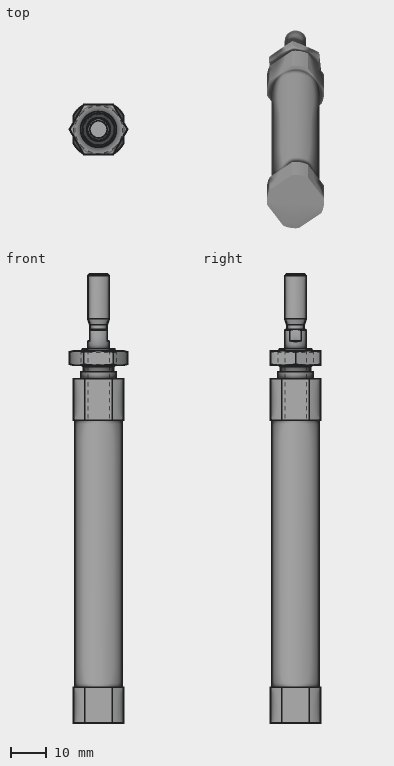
import cadquery as cq
import math

TOTAL_LENGTH = 125.2
REAR_CAP_LENGTH = 10.0
HEAD_BOTTOM = 84.4
HEAD_TOP = 96.0

CAP_ACROSS_FLATS = 14.0
CAP_CORNER_DIA = 16.0
TUBE_DIA = 13.3
COLLAR_DIA = 10.0
COLLAR_HEIGHT = 1.9
THREAD_DIA = 10.0
THREAD_ROOT_DIA = 8.92
NECK_DIA = 8.4
TIP_CONE_ANGLE = 30.0
THREAD_RUNOUT_BELOW_NUT = 0.45
NOSE_TOP = 104.25
WIPER_RECESS_DIA = 6.6
WIPER_RECESS_DEPTH = 0.5

ROD_DIA = 6.0
ROD_CHAMFER = 0.6
ROD_SLOPE_ANGLE = 30.0
STUD_LENGTH = 12.6
RUNOUT_LENGTH = 1.6
RELIEF_DIA = 4.8
RELIEF_LENGTH = 1.2
WRENCH_FLATS = 5.0
WRENCH_FLAT_LENGTH = 3.2

NUT_ACROSS_FLATS = 14.0
NUT_HEIGHT = 4.0
NUT_BOTTOM = 99.7
NUT_FACE_DIA = 14.0
NUT_CHAMFER_ANGLE = 15.0


def cylinder(diameter, bottom, top):
    """Round bar on the Z axis between two levels."""
    return cq.Workplane("XY").workplane(offset=bottom).circle(diameter / 2).extrude(top - bottom)


def end_cap(bottom, top):
    """Square block whose corners are rounded by a circle about the axis."""
    square = (
        cq.Workplane("XY")
        .workplane(offset=bottom)
        .rect(CAP_ACROSS_FLATS, CAP_ACROSS_FLATS)
        .extrude(top - bottom)
    )
    return square.intersect(cylinder(CAP_CORNER_DIA, bottom, top))


def make_nose(bottom):
    """Relieved neck, thread with a 45 degree run-out, and tapered tip."""
    neck_radius = NECK_DIA / 2
    thread_radius = THREAD_DIA / 2
    tip_radius = THREAD_ROOT_DIA / 2
    tip_length = (thread_radius - tip_radius) / math.tan(math.radians(TIP_CONE_ANGLE))
    neck_top = NUT_BOTTOM - THREAD_RUNOUT_BELOW_NUT
    return (
        cq.Workplane("XZ")
        .moveTo(0, bottom)
        .lineTo(neck_radius, bottom)
        .lineTo(neck_radius, neck_top)
        .lineTo(thread_radius, neck_top + thread_radius - neck_radius)
        .lineTo(thread_radius, NOSE_TOP - tip_length)
        .lineTo(tip_radius, NOSE_TOP)
        .lineTo(0, NOSE_TOP)
        .close()
        .revolve(360, (0, 0, 0), (0, 1, 0))
    )


def make_housing():
    """Rear cap, tube, head and threaded nose, bored for the rod through the head."""
    collar_top = HEAD_TOP + COLLAR_HEIGHT
    body = (
        end_cap(0, REAR_CAP_LENGTH)
        .union(cylinder(TUBE_DIA, REAR_CAP_LENGTH, HEAD_BOTTOM))
        .union(end_cap(HEAD_BOTTOM, HEAD_TOP))
        .union(cylinder(COLLAR_DIA, HEAD_TOP, collar_top))
        .union(make_nose(collar_top))
    )
    rod_bore = cylinder(ROD_DIA, HEAD_BOTTOM, NOSE_TOP)
    wiper_recess = cylinder(WIPER_RECESS_DIA, NOSE_TOP - WIPER_RECESS_DEPTH, NOSE_TOP)
    return body.cut(rod_bore).cut(wiper_recess)


def make_rod():
    """Piston rod with a threaded stud, a relief groove and two wrench flats."""
    radius = ROD_DIA / 2
    relief_radius = RELIEF_DIA / 2
    stud_bottom = TOTAL_LENGTH - STUD_LENGTH
    relief_top = stud_bottom - RUNOUT_LENGTH
    shoulder = relief_top - RELIEF_LENGTH
    slope = math.tan(math.radians(ROD_SLOPE_ANGLE))
    shoulder_drop = (radius - relief_radius) * slope
    rod = (
        cq.Workplane("XZ")
        .moveTo(0, HEAD_BOTTOM)
        .lineTo(radius, HEAD_BOTTOM)
        .lineTo(radius, shoulder - shoulder_drop)
        .lineTo(relief_radius, shoulder)
        .lineTo(relief_radius, relief_top)
        .lineTo(radius, stud_bottom)
        .lineTo(radius, TOTAL_LENGTH - ROD_CHAMFER)
        .lineTo(radius - ROD_CHAMFER, TOTAL_LENGTH)
        .lineTo(0, TOTAL_LENGTH)
        .close()
        .revolve(360, (0, 0, 0), (0, 1, 0))
    )
    flat_depth = (ROD_DIA - WRENCH_FLATS) / 2
    flat_bottom = shoulder - WRENCH_FLAT_LENGTH
    for side in (-1, 1):
        flat_cut = (
            cq.Workplane("XZ")
            .moveTo(side * WRENCH_FLATS / 2, shoulder)
            .lineTo(side * WRENCH_FLATS / 2, flat_bottom)
            .lineTo(side * radius, flat_bottom - flat_depth * slope)
            .lineTo(side * radius, shoulder)
            .close()
            .extrude(radius, both=True)
        )
        rod = rod.cut(flat_cut)
    return rod


def make_nut():
    """Hexagon nut, corners along X, chamfered at both ends."""
    corner_radius = NUT_ACROSS_FLATS / math.sqrt(3)
    face_radius = NUT_FACE_DIA / 2
    chamfer_drop = (corner_radius - face_radius) * math.tan(math.radians(NUT_CHAMFER_ANGLE))
    nut_top = NUT_BOTTOM + NUT_HEIGHT
    hexagon = (
        cq.Workplane("XY")
        .workplane(offset=NUT_BOTTOM)
        .polygon(6, 2 * corner_radius)
        .extrude(NUT_HEIGHT)
    )
    envelope = (
        cq.Workplane("XZ")
        .moveTo(0, NUT_BOTTOM)
        .lineTo(face_radius, NUT_BOTTOM)
        .lineTo(corner_radius, NUT_BOTTOM + chamfer_drop)
        .lineTo(corner_radius, nut_top - chamfer_drop)
        .lineTo(face_radius, nut_top)
        .lineTo(0, nut_top)
        .close()
        .revolve(360, (0, 0, 0), (0, 1, 0))
    )
    return hexagon.intersect(envelope).cut(cylinder(THREAD_DIA, NUT_BOTTOM, nut_top))


housing = make_housing()
rod = make_rod()
nut = make_nut()
result = cq.Compound.makeCompound([housing.val(), rod.val(), nut.val()])